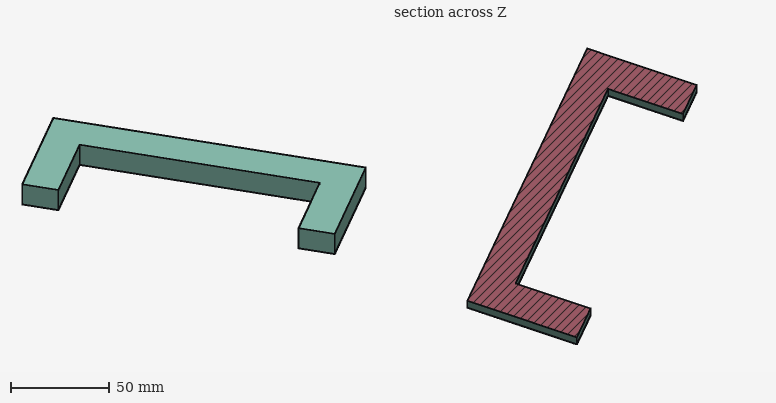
import cadquery as cq

length = 165.1
depth = 60.3
thickness = 12.7
bar_width = 19.2

opening_length = length - 2 * bar_width
opening_depth = depth - bar_width

block = cq.Workplane("XY").box(length, depth, thickness)

opening = (
    cq.Workplane("XY")
    .box(opening_length, opening_depth, thickness)
    .translate((0, -bar_width / 2, 0))
)

result = block.cut(opening)